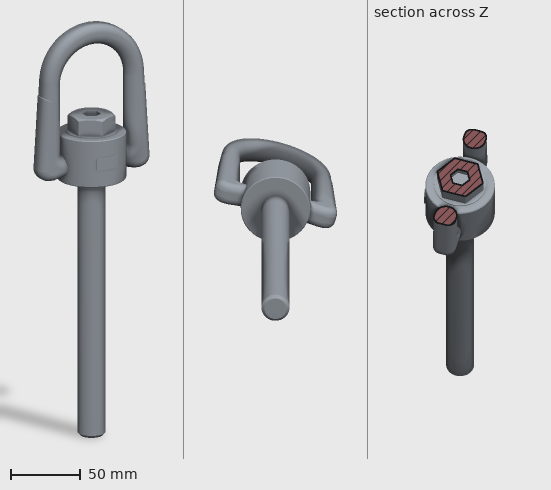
import cadquery as cq
import math

total_height = 310.2

shank_diameter = 20.2
shank_length = 194.0
tip_chamfer = 2.2
hex_across_flats = 30.0
hex_height = 12.5
hex_crown_diameter = 29.0
hex_crown_angle = 30.0
socket_across_flats = 12.0
socket_depth = 7.8

body_diameter = 50.0
body_height = 35.0
body_chamfer = 0.5
washer_diameter = 37.2
washer_height = 0.5

pad_width = 17.5
pad_height = 8.5
pad_rise = 1.0

shackle_thickness = 16.0
shackle_width = 90.0
bow_inner_radius = 26.7
bow_inner_center_z = 268.0
bow_outer_half_width = 40.3
bow_outer_start_z = 272.7
leg_step_z = 260.5
leg_step = 0.45
outer_edge_radius = 5.5

pin_axis_z = 206.0
pin_bottom_z = 200.0
pin_end_y = 21.7
hook_corner_radius = 2.0
foot_bottom_z = 197.3
foot_bottom_outer_y = 36.3
foot_bottom_inner_y = 32.5

body_radius = body_diameter / 2
body_top_z = shank_length + body_height
hex_base_z = body_top_z + washer_height
hex_top_z = hex_base_z + hex_height
bar_radius = shackle_thickness / 2
bar_center_y = bow_inner_radius + bar_radius
bend_radius = hook_corner_radius + bar_radius
bend_center_y = bar_center_y - bend_radius
bend_center_z = pin_axis_z + bend_radius


def hexagon_diameter(across_flats):
    return across_flats / math.cos(math.pi / 6)


def make_shank():
    shank = cq.Workplane("XY").circle(shank_diameter / 2).extrude(body_top_z)
    return shank.faces("<Z").chamfer(tip_chamfer)


def make_hex_head():
    corner_diameter = hexagon_diameter(hex_across_flats)
    head = cq.Workplane("XY", origin=(0, 0, hex_base_z)).polygon(6, corner_diameter).extrude(hex_height)

    crown_radius = hex_crown_diameter / 2
    drop = (corner_diameter / 2 - crown_radius) * math.tan(math.radians(hex_crown_angle))
    envelope = (
        cq.Workplane("XZ")
        .moveTo(0, hex_base_z)
        .lineTo(corner_diameter / 2, hex_base_z)
        .lineTo(corner_diameter / 2, hex_top_z - drop)
        .lineTo(crown_radius, hex_top_z)
        .lineTo(0, hex_top_z)
        .close()
        .revolve(360, (0, 0), (0, 1))
    )
    head = head.intersect(envelope)
    socket = (
        cq.Workplane("XY", origin=(0, 0, hex_top_z))
        .polygon(6, hexagon_diameter(socket_across_flats))
        .extrude(-socket_depth)
    )
    return head.cut(socket)


def make_body():
    body = cq.Workplane("XY", origin=(0, 0, shank_length)).circle(body_radius).extrude(body_height)
    body = body.edges().chamfer(body_chamfer)
    washer = cq.Workplane("XY", origin=(0, 0, body_top_z)).circle(washer_diameter / 2).extrude(washer_height)
    return body.union(washer)


def leg_outer_y(z):
    """Outer edge of the tapered leg above the step; the lower leg stands proud of this line."""
    slope = (shackle_width / 2 - leg_step - bow_outer_half_width) / (bow_outer_start_z - pin_axis_z)
    return bow_outer_half_width + slope * (bow_outer_start_z - z)


def arc_point(center_y, center_z, radius_y, radius_z, angle):
    """Point on an arc, with the angle in degrees measured from +Y toward +Z."""
    turn = math.radians(angle)
    return center_y + radius_y * math.cos(turn), center_z + radius_z * math.sin(turn)


def make_shackle_plate():
    """Outer part of the shackle, bounded inside by the line where the half-round bar starts."""
    bow_rise = total_height - bow_outer_start_z
    bow_outer_radius = (bow_outer_half_width**2 + bow_rise**2) / (2 * bow_rise)
    bow_outer_center_z = total_height - bow_outer_radius
    foot_radius_y = shackle_width / 2 - foot_bottom_outer_y
    foot_radius_z = pin_axis_z - foot_bottom_z
    step_end_z = leg_step_z - leg_step

    plate = (
        cq.Workplane("YZ")
        .moveTo(0, total_height)
        .threePointArc(
            arc_point(0, bow_outer_center_z, bow_outer_radius, bow_outer_radius, 45),
            (bow_outer_half_width, bow_outer_start_z),
        )
        .lineTo(leg_outer_y(leg_step_z), leg_step_z)
        .lineTo(leg_outer_y(step_end_z) + leg_step, step_end_z)
        .lineTo(shackle_width / 2, pin_axis_z)
        .threePointArc(
            arc_point(foot_bottom_outer_y, pin_axis_z, foot_radius_y, foot_radius_z, -45),
            (foot_bottom_outer_y, foot_bottom_z),
        )
        .lineTo(foot_bottom_inner_y, foot_bottom_z)
        .lineTo(pin_end_y, pin_bottom_z)
        .lineTo(pin_end_y, pin_axis_z)
        .lineTo(bend_center_y, pin_axis_z)
        .threePointArc(
            arc_point(bend_center_y, bend_center_z, bend_radius, bend_radius, -45),
            (bar_center_y, bend_center_z),
        )
        .lineTo(bar_center_y, bow_inner_center_z)
        .threePointArc(
            arc_point(0, bow_inner_center_z, bar_center_y, bar_center_y, 45),
            (0, bow_inner_center_z + bar_center_y),
        )
        .mirrorY()
        .extrude(bar_radius, both=True)
    )

    margin = 0.3
    outside = []
    for edge in plate.faces("<X or >X").edges().vals():
        middle = edge.positionAt(0.5)
        below_pin_axis = middle.z < pin_axis_z - margin and abs(middle.y) > pin_end_y + margin
        beyond_leg = abs(middle.y) > bar_center_y + margin
        above_bow = math.hypot(middle.y, middle.z - bow_inner_center_z) > bar_center_y + margin
        over_bow = middle.z > bow_inner_center_z and above_bow
        if below_pin_axis or beyond_leg or over_bow:
            outside.append(edge)
    return plate.newObject(outside).fillet(outer_edge_radius)


def half_disc(workplane, inward):
    """Half-round bar section: its flat lies on the plate, its round side points inward."""
    return workplane.moveTo(-bar_radius, 0).threePointArc((0, inward * bar_radius), (bar_radius, 0)).close()


def make_half_round_bar():
    """Rounded inner side of the bow, of both legs and of both pins."""
    bow_section = cq.Workplane("XY", origin=(0, bar_center_y, bow_inner_center_z))
    bow = half_disc(bow_section, -1).revolve(180, (0, -bar_center_y), (1, -bar_center_y))

    leg_section = cq.Workplane("XY", origin=(0, bar_center_y, bend_center_z))
    leg = half_disc(leg_section, -1).extrude(bow_inner_center_z - bend_center_z)
    bend_offset = bar_center_y - bend_center_y
    bend = half_disc(leg_section, -1).revolve(90, (0, -bend_offset), (-1, -bend_offset))

    pin_section = cq.Workplane("XZ", origin=(0, bend_center_y, pin_axis_z))
    pin = half_disc(pin_section, 1).extrude(bend_center_y - pin_end_y)

    hook = leg.union(bend).union(pin)
    return bow.union(hook).union(hook.mirror("XZ"))


def make_pad():
    pad_radius = body_radius + pad_rise
    center_z = shank_length + body_height / 2
    pad = cq.Workplane("YZ", origin=(0, 0, center_z)).rect(pad_width, pad_height).extrude(pad_radius)
    return pad.intersect(cq.Workplane("XY").circle(pad_radius).extrude(total_height))


result = make_shank().union(make_body()).union(make_hex_head())
result = result.union(make_shackle_plate().union(make_half_round_bar()))
result = result.union(make_pad())